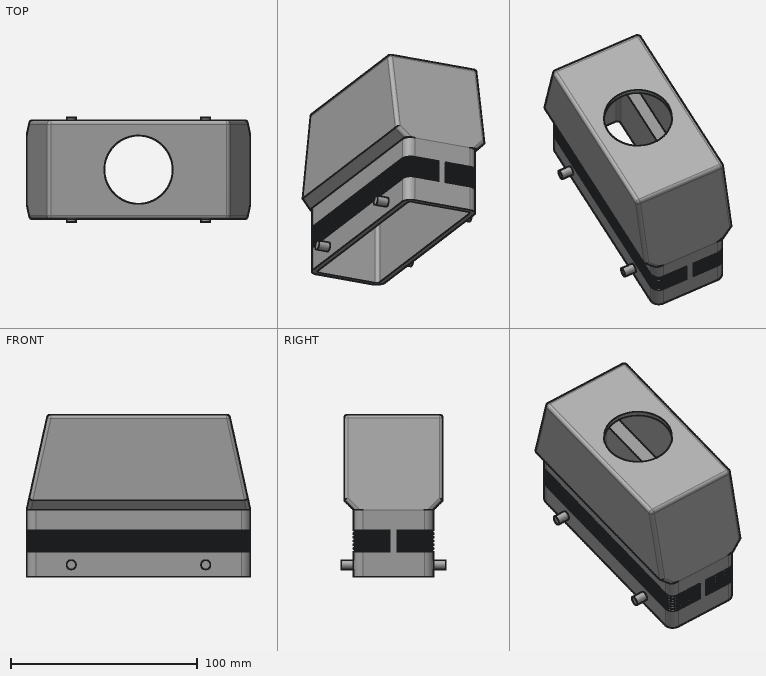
import cadquery as cq

LENGTH = 120.0
HEIGHT = 87.0
PIN_SPAN = 56.0
WALL = 3.0

SKIRT_WIDTH = 43.0
SKIRT_HEIGHT = 36.0
SKIRT_CORNER_RADIUS = 5.0

HOOD_WIDTH = 53.0
HOOD_TOP_LENGTH = 97.5
HOOD_EDGE_RADIUS = 2.0
FLARE_HEIGHT = (HOOD_WIDTH - SKIRT_WIDTH) / 2

CABLE_HOLE_DIAMETER = 36.5

PIN_DIAMETER = 5.0
PIN_SPACING = 72.0
PIN_Z = 6.5

GROOVE_COUNT = 6
GROOVES_HEIGHT = 11.5
GROOVE_DEPTH = 0.86
GROOVE_MOUTH = 1.5
GROOVE_FLOOR = 0.5
GROOVE_PITCH = (GROOVES_HEIGHT - GROOVE_MOUTH) / (GROOVE_COUNT - 1)
GROOVES_TOP_Z = 25.0
GROOVE_GAP = 4.1
GROOVE_CUTTER_MARGIN = 1.2


def skirt_block(inset=0.0):
    """Upright block with rounded corners, standing on Z = 0."""
    return (
        cq.Workplane("XY")
        .rect(LENGTH - 2 * inset, SKIRT_WIDTH - 2 * inset)
        .extrude(SKIRT_HEIGHT)
        .edges("|Z")
        .fillet(SKIRT_CORNER_RADIUS - inset)
    )


def hood_block(inset=0.0):
    """Sharp-edged hood: its front outline crossed with its end outline."""
    top_z = HEIGHT - inset
    lean = (LENGTH - HOOD_TOP_LENGTH) / 2 / (HEIGHT - SKIRT_HEIGHT)
    half_length = LENGTH / 2 - inset
    half_top_length = half_length - lean * (top_z - SKIRT_HEIGHT)
    half_neck = SKIRT_WIDTH / 2 - inset
    half_width = HOOD_WIDTH / 2 - inset
    flare_top_z = SKIRT_HEIGHT + FLARE_HEIGHT

    front_prism = (
        cq.Workplane("XZ")
        .polyline([
            (-half_length, SKIRT_HEIGHT),
            (half_length, SKIRT_HEIGHT),
            (half_top_length, top_z),
            (-half_top_length, top_z),
        ])
        .close()
        .extrude(HOOD_WIDTH / 2, both=True)
    )
    end_prism = (
        cq.Workplane("YZ")
        .polyline([
            (-half_neck, SKIRT_HEIGHT),
            (half_neck, SKIRT_HEIGHT),
            (half_width, flare_top_z),
            (half_width, top_z),
            (-half_width, top_z),
            (-half_width, flare_top_z),
        ])
        .close()
        .extrude(LENGTH / 2, both=True)
    )
    return front_prism.intersect(end_prism)


def rounded_hood():
    """Hood with its top rim and all the edges of its end faces rounded."""
    return hood_block().edges("(not (|X or <Z)) or >Z").fillet(HOOD_EDGE_RADIUS)


def skirt_outline(inset, z):
    """Rounded rectangle of the skirt, offset inwards and lifted to a level."""
    return (
        cq.Sketch()
        .rect(LENGTH - 2 * inset, SKIRT_WIDTH - 2 * inset)
        .vertices()
        .fillet(SKIRT_CORNER_RADIUS - inset)
        .moved(cq.Location(cq.Vector(0, 0, z)))
    )


def groove_core(bottom_inset, bottom_z, top_inset, top_z):
    """Slice of skirt left standing inside a groove."""
    return (
        cq.Workplane("XY")
        .placeSketch(skirt_outline(bottom_inset, bottom_z), skirt_outline(top_inset, top_z))
        .loft(ruled=True)
    )


def groove_cutter(top_z):
    """Ring with a trapezoid section, open in the middle of both ends."""
    slope_height = (GROOVE_MOUTH - GROOVE_FLOOR) / 2
    bottom_z = top_z - GROOVE_MOUTH
    floor_bottom_z = bottom_z + slope_height
    floor_top_z = floor_bottom_z + GROOVE_FLOOR
    ring = (
        cq.Workplane("XY")
        .workplane(offset=bottom_z)
        .rect(LENGTH + 2 * GROOVE_CUTTER_MARGIN, SKIRT_WIDTH + 2 * GROOVE_CUTTER_MARGIN)
        .extrude(GROOVE_MOUTH)
        .cut(groove_core(0.0, bottom_z, GROOVE_DEPTH, floor_bottom_z))
        .cut(groove_core(GROOVE_DEPTH, floor_bottom_z, GROOVE_DEPTH, floor_top_z))
        .cut(groove_core(GROOVE_DEPTH, floor_top_z, 0.0, top_z))
    )
    gap = (
        cq.Workplane("XY")
        .workplane(offset=bottom_z)
        .rect(LENGTH + 2 * GROOVE_CUTTER_MARGIN, GROOVE_GAP)
        .extrude(GROOVE_MOUTH)
    )
    return ring.cut(gap)


def pin_pair(side):
    """Two pins on the long side at -Y (side = -1) or +Y (side = 1), rooted inside the wall."""
    root = SKIRT_WIDTH / 2 - WALL / 2
    pins = (
        cq.Workplane("XZ")
        .pushPoints([(-PIN_SPACING / 2, PIN_Z), (PIN_SPACING / 2, PIN_Z)])
        .circle(PIN_DIAMETER / 2)
        .extrude(-side * (PIN_SPAN / 2 - root))
    )
    return pins.translate((0, side * root, 0))


shell = skirt_block().union(rounded_hood())

cavity = skirt_block(WALL).union(hood_block(WALL))
shell = shell.cut(cavity)

cable_hole = (
    cq.Workplane("XY")
    .workplane(offset=HEIGHT)
    .circle(CABLE_HOLE_DIAMETER / 2)
    .extrude(-2 * WALL)
)
shell = shell.cut(cable_hole)

for index in range(GROOVE_COUNT):
    shell = shell.cut(groove_cutter(GROOVES_TOP_Z - index * GROOVE_PITCH))

for side in (-1, 1):
    shell = shell.union(pin_pair(side))

result = shell